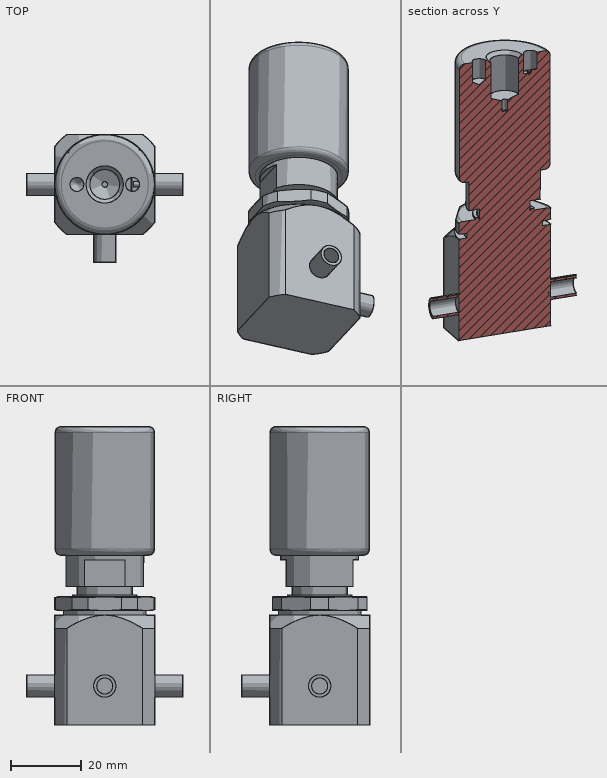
import cadquery as cq
import math

INCH = 25.4
overall_height = 85.09

body_width = 1.125 * INCH
body_height = 31.35
body_corner_dia = 35.8
body_cone_top_dia = body_width
body_cone_depth = 3.75

tube_dia = 0.25 * INCH
tube_bore_dia = 4.57
tube_reach = 0.875 * INCH
tube_height = 11.18

collar_dia, collar_top = 23.57, 32.65
nut_top = 36.6
washer_dia, washer_top = 18.29, 37.15
stem_clearance_dia = 16.13
stem_dia, stem_top = 15.75, 39.5

nut_across_flats = 1.0625 * INCH
nut_corner_dia = 28.65
nut_face_dia = 26.6
nut_chamfer = 0.28

bonnet_dia = 0.875 * INCH
flat_spacing = 0.75 * INCH
flat_top = 47.1

knob_dia = 28.32
knob_bottom = 48.4
knob_round = 1.75

socket_dia, socket_mouth_dia, socket_depth = 8.48, 10.6, 12.0
vent_dia, vent_depth = 1.61, 3.0
pocket_dia, pocket_depth = 3.96, 6.0
pocket_offset = 0.3125 * INCH
socket_point_angle = 140
pocket_point_angle = 118

slit_width, slit_depth, slit_offset = 0.25, 0.5, 0.35
pin_dia, pin_start = 1.57, 0.3


def disc(dia, bottom, top):
    """Upright cylinder on the valve axis."""
    return cq.Workplane("XY").workplane(offset=bottom).circle(dia / 2).extrude(top - bottom)


def turned(points):
    """Solid of revolution about Z from a list of (radius, height) points."""
    return cq.Workplane("XZ").polyline(points).close().revolve(360, (0, 0), (0, 1))


def drill_point(dia, angle):
    """Height of the cone left by a drill of this diameter and point angle."""
    return dia / 2 / math.tan(math.radians(angle / 2))


def valve_body():
    block = cq.Workplane("XY").box(body_width, body_width, body_height, centered=(True, True, False))
    envelope = turned([
        (0, 0),
        (body_corner_dia / 2, 0),
        (body_corner_dia / 2, body_height - body_cone_depth),
        (body_cone_top_dia / 2, body_height),
        (0, body_height),
    ])
    return block.intersect(envelope)


def port_rod(direction, dia, start, end):
    """Horizontal cylinder at port height between two distances from the valve axis."""
    origin = cq.Vector(0, 0, tube_height) + direction * start
    return cq.Workplane(cq.Solid.makeCylinder(dia / 2, end - start, origin, direction))


def hex_nut():
    corner_distance = nut_across_flats / math.cos(math.pi / 6)
    prism = cq.Workplane("XY").workplane(offset=collar_top).polygon(6, corner_distance)
    prism = prism.extrude(nut_top - collar_top)
    envelope = turned([
        (0, collar_top),
        (nut_face_dia / 2, collar_top),
        (nut_corner_dia / 2, collar_top + nut_chamfer),
        (nut_corner_dia / 2, nut_top - nut_chamfer),
        (nut_face_dia / 2, nut_top),
        (0, nut_top),
    ])
    return prism.intersect(envelope)


def bonnet():
    flats = cq.Workplane("XY").workplane(offset=stem_top).rect(bonnet_dia, flat_spacing)
    flats = flats.extrude(flat_top - stem_top)
    lower = disc(bonnet_dia, stem_top, flat_top).intersect(flats)
    return lower.union(disc(bonnet_dia, flat_top, knob_bottom))


def socket():
    """Countersunk central hole with a coned floor and a small vent below it."""
    mouth_depth = (socket_mouth_dia - socket_dia) / 2
    floor = overall_height - socket_depth
    bore = turned([
        (0, overall_height),
        (socket_mouth_dia / 2, overall_height),
        (socket_dia / 2, overall_height - mouth_depth),
        (socket_dia / 2, floor),
        (0, floor - drill_point(socket_dia, socket_point_angle)),
    ])
    vent_bottom = floor - drill_point(socket_dia, socket_point_angle) - vent_depth
    return bore.union(disc(vent_dia, vent_bottom, floor))


def coned_pocket():
    floor = overall_height - pocket_depth
    cutter = turned([
        (0, overall_height),
        (pocket_dia / 2, overall_height),
        (pocket_dia / 2, floor),
        (0, floor - drill_point(pocket_dia, pocket_point_angle)),
    ])
    return cutter.translate((-pocket_offset, 0, 0))


def pinned_pocket():
    """Flat pocket with a slit across its floor and a half-sunk pin lying along X."""
    floor = overall_height - pocket_depth
    cutter = disc(pocket_dia, floor, overall_height)
    slit = cq.Workplane("XY").box(slit_width, pocket_dia, slit_depth)
    slit = slit.translate((-slit_offset, 0, floor - slit_depth / 2))
    slit = slit.intersect(disc(pocket_dia, floor - slit_depth, floor))
    pin = cq.Solid.makeCylinder(pin_dia / 2, pocket_dia, cq.Vector(pin_start, 0, floor), cq.Vector(1, 0, 0))
    return cutter.union(slit).cut(cq.Workplane(pin)).translate((pocket_offset, 0, 0))


def knob():
    barrel = disc(knob_dia, knob_bottom, overall_height).edges().fillet(knob_round)
    return barrel.cut(socket()).cut(coned_pocket()).cut(pinned_pocket())


result = valve_body()
result = result.union(disc(collar_dia, body_height, collar_top))
result = result.union(hex_nut())
result = result.union(disc(washer_dia, nut_top, washer_top))
result = result.cut(disc(stem_clearance_dia, nut_top, washer_top))
result = result.union(disc(stem_dia, nut_top, stem_top))
result = result.union(bonnet())
result = result.union(knob())
for port_direction in (cq.Vector(-1, 0, 0), cq.Vector(1, 0, 0), cq.Vector(0, -1, 0)):
    result = result.union(port_rod(port_direction, tube_dia, 0, tube_reach))
    result = result.cut(port_rod(port_direction, tube_bore_dia, body_width / 2, tube_reach))